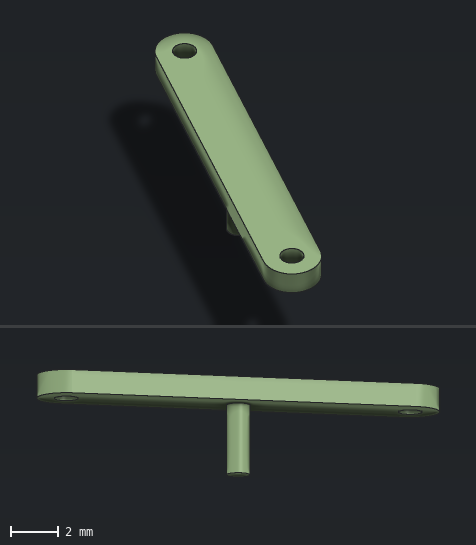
import cadquery as cq

bar_length = 17.3
bar_width = 2.5
bar_thickness = 1.0
total_height = 4.0
hole_diameter = 1.0
pin_diameter = 1.0

hole_spacing = bar_length - bar_width
pin_length = total_height - bar_thickness

bar = cq.Workplane("XY").slot2D(bar_length, bar_width).extrude(bar_thickness)

end_holes = (
    cq.Workplane("XY")
    .pushPoints([(-hole_spacing / 2, 0), (hole_spacing / 2, 0)])
    .circle(hole_diameter / 2)
    .extrude(bar_thickness)
)

pin = cq.Workplane("XY").circle(pin_diameter / 2).extrude(-pin_length)

result = bar.cut(end_holes).union(pin)